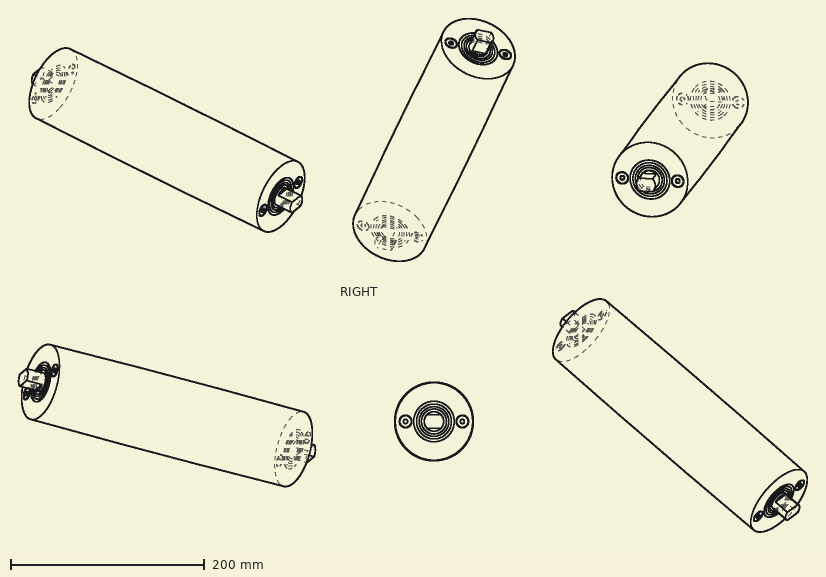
import cadquery as cq

total_length = 341.0
drum_length = 300.0
cap_lip = 3.0
crown_length = 100.3
crown_diameter = 81.5
crown_rise = 0.7
end_diameter = crown_diameter - 2 * crown_rise

axle_diameter = 20.0
flat_thickness = 14.0
flat_length = 18.0

step_depth = 0.5
housing_diameter = 42.0
hub_diameter = 26.0
groove_radius = 1.5
groove_centre_diameter = 33.5
screw_offset = 29.3
screw_diameter = 12.0
screw_seat_diameter = 13.0
socket_diameter = 4.5
socket_depth = 2.0

drum_end = drum_length / 2
axle_end = total_length / 2


def disc(diameter, start, length, y=0.0):
    """Cylinder along +X from x = start, centred at (y, z = 0)."""
    return cq.Workplane("YZ", origin=(start, y, 0)).circle(diameter / 2).extrude(length)


def ring(outer_diameter, inner_diameter, start, length, y=0.0):
    """Annular disc along +X from x = start, centred at (y, z = 0)."""
    return disc(outer_diameter, start, length, y).cut(disc(inner_diameter, start, length, y))


def drum():
    """Crowned solid: cylindrical middle, tapered sides and short straight lips."""
    taper_end = drum_end - cap_lip
    crown_end = crown_length / 2
    end_radius = end_diameter / 2
    crown_radius = crown_diameter / 2
    return (
        cq.Workplane("XY")
        .moveTo(-drum_end, 0)
        .lineTo(-drum_end, end_radius)
        .lineTo(-taper_end, end_radius)
        .lineTo(-crown_end, crown_radius)
        .lineTo(crown_end, crown_radius)
        .lineTo(taper_end, end_radius)
        .lineTo(drum_end, end_radius)
        .lineTo(drum_end, 0)
        .close()
        .revolve(360, (0, 0, 0), (1, 0, 0))
    )


def axle():
    """Round bar milled to two parallel flats, facing up and down, at both ends."""
    bar = disc(axle_diameter, -axle_end, total_length)
    flat_height = (axle_diameter - flat_thickness) / 2
    for x_side in (-1, 1):
        for z_side in (-1, 1):
            waste = cq.Workplane("XY").box(flat_length, axle_diameter, flat_height)
            x = x_side * (axle_end - flat_length / 2)
            z = z_side * (flat_thickness + flat_height) / 2
            bar = bar.cut(waste.translate((x, 0, z)))
    return bar


def half_round_groove():
    """Torus centred on the cap face, so that half of its section cuts into the cap."""
    face_centre = cq.Vector(-drum_end, 0, 0)
    axis = cq.Vector(1, 0, 0)
    return cq.Workplane("XY").add(
        cq.Solid.makeTorus(groove_centre_diameter / 2, groove_radius, face_centre, axis)
    )


def end_cap_cuts():
    """Material removed from the cap on the -X end."""
    cuts = [
        ring(housing_diameter, groove_centre_diameter, -drum_end, step_depth),
        ring(hub_diameter, axle_diameter, -drum_end, step_depth),
        half_round_groove(),
    ]
    for y in (-screw_offset, screw_offset):
        cuts.append(ring(screw_seat_diameter, screw_diameter, -drum_end, step_depth, y))
        cuts.append(disc(socket_diameter, -drum_end, socket_depth, y))
    return cuts


body = drum()
for cut in end_cap_cuts():
    body = body.cut(cut).cut(cut.mirror("YZ"))

result = body.union(axle())